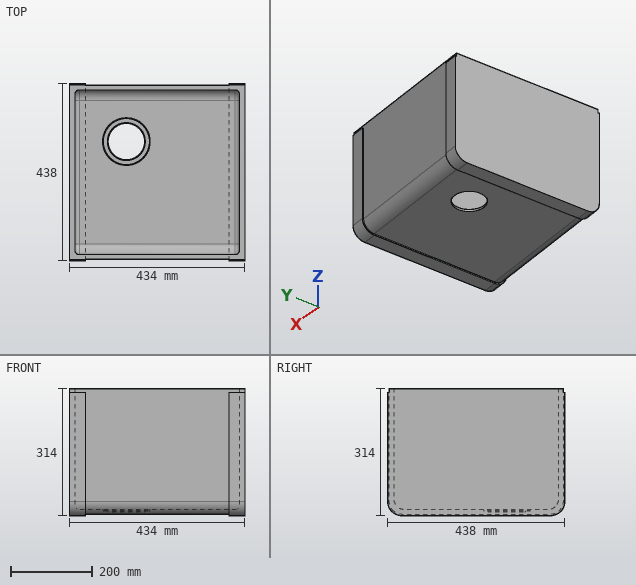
import cadquery as cq

width = 434.0
overall_depth = 438
overall_height = 314.0
strip_thickness = 4.0
body_depth = overall_depth - 2 * strip_thickness
body_height = overall_height - strip_thickness
body_radius = 32.0

strip_width = 40.0
strip_top_drop = 9.0
strip_height = overall_height - strip_top_drop
strip_radius = body_radius + strip_thickness

end_wall = 13.5
side_wall = 12.0
floor_thickness = 12.0
bowl_width = width - 2 * end_wall
bowl_depth = body_depth - 2 * side_wall
bowl_height = body_height - floor_thickness
floor_z = strip_thickness + floor_thickness
bowl_floor_radius = 26.0
bowl_end_radius = 11.0

drain_x = -76.0
drain_y = 75.8
drain_diameter = 90.0
recess_diameter = 114
recess_depth = 4.0
edge_break = 2.0


def rounded_block(x_size, y_size, z_size, base_z, radius):
    """Block centred in X and Y whose two lower edges along X are rounded."""
    block = cq.Workplane("XY").box(x_size, y_size, z_size, centered=(True, True, False))
    return block.edges("|X and <Z").fillet(radius).translate((0, 0, base_z))


def make_strip(side):
    """Wrap-around strip flush with the end face on the given side (-1 or 1)."""
    strip = rounded_block(strip_width, overall_depth, strip_height, 0, strip_radius)
    return strip.translate((side * (width - strip_width) / 2, 0, 0))


def make_bowl():
    """Bowl cavity: rounded along the floor, then around both end faces."""
    bowl = rounded_block(bowl_width, bowl_depth, bowl_height, floor_z, bowl_floor_radius)
    end_edges = bowl.faces("<X or >X").edges("not >Z")
    return end_edges.fillet(bowl_end_radius)


def make_drain():
    """Through hole with a shallow recess; both upper rims are bevelled."""
    recess_z = floor_z - recess_depth
    hole_radius = drain_diameter / 2
    recess_radius = recess_diameter / 2
    profile = (
        cq.Workplane("XZ")
        .lineTo(hole_radius, 0)
        .lineTo(hole_radius, recess_z - edge_break)
        .lineTo(hole_radius + edge_break, recess_z)
        .lineTo(recess_radius, recess_z)
        .lineTo(recess_radius, floor_z - edge_break)
        .lineTo(recess_radius + edge_break, floor_z)
        .lineTo(0, floor_z)
        .close()
    )
    return profile.revolve(360, (0, 0), (0, 1)).translate((drain_x, drain_y, 0))


basin = rounded_block(width, body_depth, body_height, strip_thickness, body_radius)
for side in (-1, 1):
    basin = basin.union(make_strip(side))

result = basin.cut(make_bowl()).cut(make_drain())